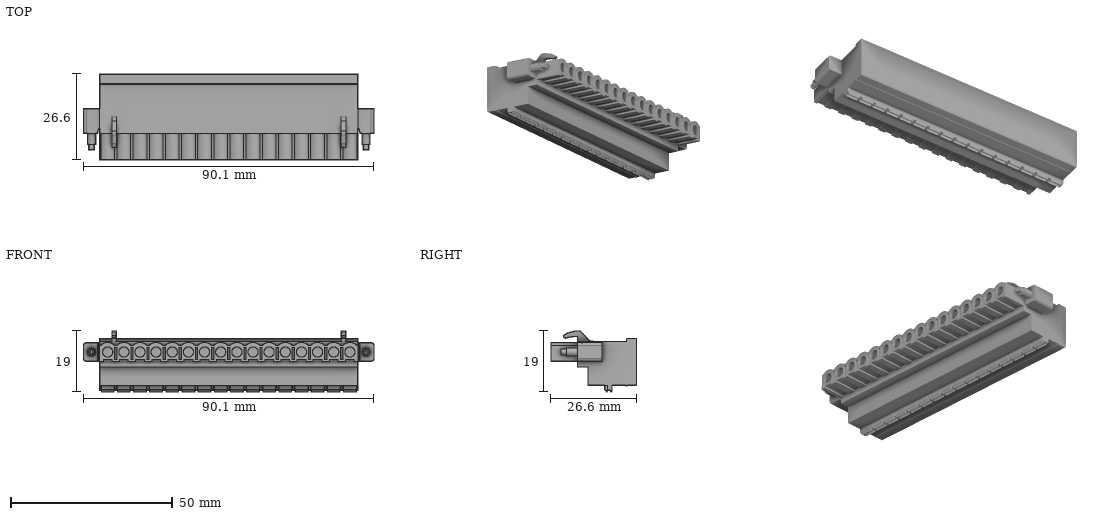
import cadquery as cq
TOTAL_LENGTH = 90.1
TOTAL_DEPTH = 26.6
TOTAL_HEIGHT = 19.0
POLES = 16

pitch = TOTAL_LENGTH / (POLES + 2)
body_length = POLES * pitch
pole_centres = [(i - (POLES - 1) / 2) * pitch for i in range(POLES)]

body_front = 8.2
lower_front = 11.4
lower_top = 7.75
body_bottom = 2.1
body_top = 15.8
lip_front = 23.4
lip_top = 16.7
lip_chamfer = 0.2
rear_chamfer = 0.3
bead_width = 0.45
bead_height = 0.2

axis_height = 12.4
barrel_bottom = 9.55
barrel_radius = 3.0
shoulder_height = 14.5
contact_diameter = 3.15
contact_depth = 1.1
gap_width = 0.7
gap_bottom = 10.2
gap_top = 13.8
keyway_width = 2.7
keyway_height = 0.5

flange_rear = 15.9
flange_height = 2 * (axis_height - barrel_bottom)
flange_radius = 0.9
relief_width = 0.6
relief_inner_width = 0.4
relief_depth = 1.6
screw_diameter = 2.6
screw_front = 4.8
screw_tip_diameter = 1.8
screw_tip_front = 3.1
screw_socket_diameter = 0.9
screw_socket_depth = 0.5

latch_width = 1.4
latch_inset = 4.5
latch_foot_rear = 13.2
latch_ramp_front = 12.0
latch_ramp_height = 0.2
latch_tip = 3.9

rail_rear = 19.0
slot_rear = 17.5
rail_bottom = 0.5
block_width = 4.0
block_front = 16.7
block_chamfer = 0.3
tooth_width = 0.7
web_width = 0.5


def box(x_min, x_max, y_min, y_max, z_min, z_max):
    size = (x_max - x_min, y_max - y_min, z_max - z_min)
    return cq.Workplane("XY").box(*size, centered=False).translate((x_min, y_min, z_min))


def cylinder(x, diameter, y_min, y_max):
    """Round bar along Y at the common axis height."""
    profile = cq.Workplane("XZ", origin=(x, y_max, axis_height)).circle(diameter / 2)
    return profile.extrude(y_max - y_min)


def along_x(centre, width):
    """Sketch plane with local Y and Z axes; extrude by width to centre the solid."""
    return cq.Workplane("YZ", origin=(centre - width / 2, 0, 0))


def make_housing():
    profile = [
        (body_front, lower_top),
        (lower_front, lower_top),
        (lower_front, body_bottom),
        (TOTAL_DEPTH - rear_chamfer, body_bottom),
        (TOTAL_DEPTH, body_bottom + rear_chamfer),
        (TOTAL_DEPTH, lip_top),
        (lip_front + lip_chamfer, lip_top),
        (lip_front, lip_top - lip_chamfer),
        (lip_front, body_top),
        (body_front, body_top),
    ]
    housing = along_x(0, body_length).polyline(profile).close().extrude(body_length)
    bead = box(
        -body_length / 2, body_length / 2,
        lip_front - bead_width / 2, lip_front + bead_width / 2,
        body_bottom - bead_height, body_bottom,
    )
    return housing.union(bead)


def make_barrel_row():
    row = box(-body_length / 2, body_length / 2, 0, body_front, barrel_bottom, shoulder_height)
    for x in pole_centres:
        crown = cylinder(x, 2 * barrel_radius, 0, body_front)
        crown = crown.intersect(
            box(x - pitch / 2, x + pitch / 2, 0, body_front, shoulder_height, TOTAL_HEIGHT)
        )
        row = row.union(crown)
    return row


def cut_barrel_details(part):
    for x in pole_centres:
        part = part.cut(cylinder(x, contact_diameter, 0, contact_depth))
        part = part.cut(box(
            x - keyway_width / 2, x + keyway_width / 2,
            0, body_front,
            barrel_bottom, barrel_bottom + keyway_height,
        ))
    for x in pole_centres[:-1]:
        gap_centre = x + pitch / 2
        part = part.cut(box(
            gap_centre - gap_width / 2, gap_centre + gap_width / 2,
            0, body_front,
            gap_bottom, gap_top,
        ))
    return part


def make_flange():
    """Right-hand screw flange; the left one is its mirror image."""
    inner = body_length / 2
    outer = TOTAL_LENGTH / 2
    centre = (inner + outer) / 2
    flange = box(
        inner, outer, body_front, flange_rear, barrel_bottom, barrel_bottom + flange_height
    )
    flange = flange.edges("|Y and >X").fillet(flange_radius)
    relief = (
        cq.Workplane("XY")
        .moveTo(inner, body_front)
        .lineTo(inner + relief_width, body_front)
        .lineTo(inner + relief_inner_width, body_front + relief_depth - relief_inner_width)
        .lineTo(inner, body_front + relief_depth)
        .close()
        .extrude(TOTAL_HEIGHT)
    )
    flange = flange.cut(relief)
    flange = flange.union(cylinder(centre, screw_diameter, screw_front, body_front))
    flange = flange.union(cylinder(centre, screw_tip_diameter, screw_tip_front, screw_front))
    socket_end = screw_tip_front + screw_socket_depth
    return flange.cut(cylinder(centre, screw_socket_diameter, screw_tip_front, socket_end))


def make_latch(centre):
    """Hooked arm rising from the housing top and curving down over the barrels."""
    return (
        along_x(centre, latch_width)
        .moveTo(latch_foot_rear, body_top)
        .lineTo(latch_ramp_front, body_top + latch_ramp_height)
        .lineTo(9.0, TOTAL_HEIGHT)
        .lineTo(7.7, TOTAL_HEIGHT)
        .lineTo(5.05, 18.3)
        .lineTo(latch_tip, 17.6)
        .lineTo(latch_tip, 17.0)
        .lineTo(4.6, 16.7)
        .threePointArc((6.4, 17.1), (body_front, 17.2))
        .lineTo(body_front, body_top)
        .close()
        .extrude(latch_width)
    )


def make_rail():
    front = [
        (block_front + block_chamfer, rail_bottom),
        (block_front, rail_bottom + block_chamfer),
        (block_front, body_bottom),
    ]
    profile = [(rail_rear, body_bottom), (rail_rear, rail_bottom)] + front
    rail = along_x(0, body_length).polyline(profile).close().extrude(body_length)
    slot_width = (pitch - web_width - block_width) / 2
    slot_offset = (block_width + slot_width) / 2
    for pole in pole_centres:
        for x in (pole - slot_offset, pole + slot_offset):
            rail = rail.cut(box(
                x - slot_width / 2, x + slot_width / 2,
                block_front, slot_rear,
                rail_bottom, body_bottom,
            ))
    for y in (block_front + block_chamfer, rail_rear - tooth_width):
        tooth = [(y, rail_bottom), (y + tooth_width / 2, 0), (y + tooth_width, rail_bottom)]
        for x in pole_centres:
            rail = rail.union(along_x(x, block_width).polyline(tooth).close().extrude(block_width))
    return rail


result = make_housing().union(make_barrel_row())
result = cut_barrel_details(result)
right_flange = make_flange()
result = result.union(right_flange).union(right_flange.mirror("YZ"))
for side in (-1, 1):
    result = result.union(make_latch(side * (body_length / 2 - latch_inset)))
result = result.union(make_rail())